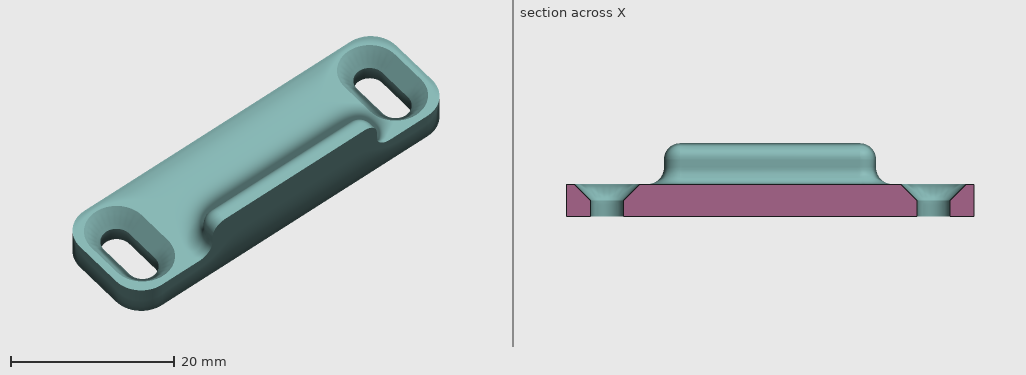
import cadquery as cq

plate_width = 15
plate_length = 50
plate_thickness = 4
plate_corner_radius = 4

slot_offset = 20
slot_straight = 5
slot_radius = 2
countersink_radius = 4
countersink_depth = 2

ridge_length = 26
ridge_height = 5
ridge_radius = 2
foot_radius = 2
ridge_edge_strip = 1

foot_reach = ridge_radius + foot_radius
ridge_end_y = ridge_length / 2 - ridge_radius
ridge_axis_x = plate_width / 2 - ridge_edge_strip
ridge_top_z = plate_thickness + ridge_height
diagonal = 0.5 ** 0.5


def make_plate():
    plate = cq.Workplane("XY").box(
        plate_width, plate_length, plate_thickness, centered=(True, True, False)
    )
    return plate.edges("|Z").fillet(plate_corner_radius)


def slot_cutter(y):
    """Through slot whose upper part widens along a conical countersink."""
    through = (
        cq.Workplane("XY")
        .center(0, y)
        .slot2D(slot_straight + 2 * slot_radius, 2 * slot_radius)
        .extrude(plate_thickness)
    )

    floor_z = plate_thickness - countersink_depth
    section = [
        (0, floor_z),
        (slot_radius, floor_z),
        (countersink_radius, plate_thickness),
        (0, plate_thickness),
    ]
    cone = cq.Workplane("XZ").polyline(section).close().revolve(360, (0, 0), (0, 1))
    full_section = section[1:3] + [(-r, z) for r, z in reversed(section[1:3])]
    middle = (
        cq.Workplane("YZ")
        .polyline(full_section)
        .close()
        .extrude(slot_straight / 2, both=True)
        .translate((0, y, 0))
    )
    cutter = through.union(middle)
    for x in (-slot_straight / 2, slot_straight / 2):
        cutter = cutter.union(cone.translate((x, y, 0)))
    return cutter


def ridge_section(plane):
    """Half section: flared foot, upright wall and rounded top, beside the local Y axis."""
    foot_arc_offset = foot_radius * (1 - diagonal)
    top_arc_offset = ridge_radius * diagonal
    top_center_z = ridge_top_z - ridge_radius
    return (
        cq.Workplane(plane)
        .moveTo(0, plate_thickness)
        .lineTo(foot_reach, plate_thickness)
        .threePointArc(
            (ridge_radius + foot_arc_offset, plate_thickness + foot_arc_offset),
            (ridge_radius, plate_thickness + foot_radius),
        )
        .lineTo(ridge_radius, top_center_z)
        .threePointArc((top_arc_offset, top_center_z + top_arc_offset), (0, ridge_top_z))
        .close()
    )


def make_ridge():
    ridge = (
        ridge_section("XZ")
        .extrude(ridge_end_y, both=True)
        .mirror("YZ")
        .translate((ridge_axis_x, 0, 0))
    )
    ridge = ridge.union(
        cq.Workplane("XY")
        .box(ridge_edge_strip, 2 * ridge_end_y, ridge_height, centered=(False, True, False))
        .translate((ridge_axis_x, 0, plate_thickness))
    )
    corner = ridge_section("YZ").revolve(90, (0, 0), (0, 1))
    straight_return = ridge_section("YZ").extrude(ridge_edge_strip)
    end = corner.union(straight_return).translate((ridge_axis_x, ridge_end_y, 0))
    return ridge.union(end).union(end.mirror("XZ"))


result = make_plate().union(make_ridge())
for slot_y in (-slot_offset, slot_offset):
    result = result.cut(slot_cutter(slot_y))